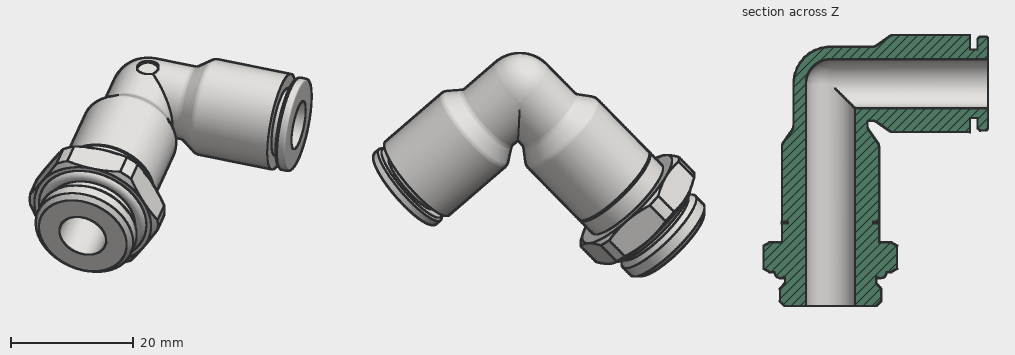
import cadquery as cq
import math

elbow_radius = 6.1
arm_radius = 8.0
elbow_end = 7.3
shoulder_end = 10.0
shoulder_blend = 1.1
bore_radius = 4.0

socket_end = 22.9
socket_neck_radius = 5.65
collar_start = 24.1
collar_end = 25.83
collar_radius = 7.75
collar_edge = 0.4

groove_start = 22.63
groove_width = 0.25
groove_radius = 7.0
stud_neck_radius = 7.5
stud_end = 36.45
thread_radius = 8.35
thread_chamfer = 0.85
thread_start = 32.65
thread_lead = 0.95

nut_start = 25.95
nut_thickness = 4.95
nut_end = nut_start + nut_thickness
nut_flats = 20.0
nut_corner_radius = 11.0
nut_chamfer_angle = 30.0

ring_section_radius = 1.0
ring_outer_radius = 9.2
ring_center_radius = ring_outer_radius - ring_section_radius

emblem_radius = 1.8
emblem_floor = 5.42


def turned(points):
    """Solid of revolution about Y from (radius, y) points, closed along the axis."""
    return cq.Workplane("XY").polyline(points).close().revolve(360, (0, 0, 0), (0, 1, 0))


def along_x(body):
    """Turn a body built towards -Y so that it points towards +X."""
    return body.rotate((0, 0, 0), (0, 0, 1), 90)


def cylinder(radius, start, end):
    """Cylinder reaching towards -Y from one distance to another."""
    return cq.Workplane("XZ").workplane(offset=start).circle(radius).extrude(end - start)


def arm(end):
    """Elbow tube widening through a blended shoulder to the arm radius."""
    body = turned([
        (0, 0),
        (elbow_radius, 0),
        (elbow_radius, -elbow_end),
        (arm_radius, -shoulder_end),
        (arm_radius, -end),
        (0, -end),
    ])
    shoulder_edges = body.edges("%CIRCLE").edges(">>Y[-2] or >>Y[-3]")
    return shoulder_edges.fillet(shoulder_blend)


def tube_socket():
    """Arm with a narrower neck and a release collar, towards +X."""
    neck = cylinder(socket_neck_radius, socket_end, collar_start)
    collar = cylinder(collar_radius, collar_start, collar_end)
    collar = collar.edges("<Y").fillet(collar_edge).edges(">Y").chamfer(collar_edge)
    return along_x(arm(socket_end).union(neck).union(collar))


def nut():
    """Hexagon with cylindrical corners, chamfered down to its flats at both faces."""
    across_corners = nut_flats / math.cos(math.pi / 6)
    nut_face = cq.Workplane("XZ").workplane(offset=nut_start)
    hexagon = nut_face.polygon(6, across_corners).extrude(nut_thickness)
    face_radius = nut_flats / 2
    chamfer_depth = (nut_corner_radius - face_radius) * math.tan(math.radians(nut_chamfer_angle))
    envelope = turned([
        (0, -nut_start),
        (face_radius, -nut_start),
        (nut_corner_radius, -nut_start - chamfer_depth),
        (nut_corner_radius, -nut_end + chamfer_depth),
        (face_radius, -nut_end),
        (0, -nut_end),
    ])
    return hexagon.intersect(envelope)


def threaded_stud():
    """Neck below the nut and the plain thread body with its lead-in and end chamfer."""
    return turned([
        (0, -nut_end),
        (stud_neck_radius, -nut_end),
        (stud_neck_radius, -thread_start),
        (thread_radius, -thread_start - thread_lead),
        (thread_radius, -stud_end + thread_chamfer),
        (thread_radius - thread_chamfer, -stud_end),
        (0, -stud_end),
    ])


def o_ring():
    """Ring of round section centred on the nut face."""
    section = cq.Workplane("XY").center(ring_center_radius, -nut_end).circle(ring_section_radius)
    return section.revolve(360, (-ring_center_radius, 0, 0), (-ring_center_radius, 1, 0))


def swivel_groove():
    """Narrow ring to cut from the arm ahead of the nut."""
    groove_end = groove_start + groove_width
    outer = cylinder(nut_corner_radius, groove_start, groove_end)
    return outer.cut(cylinder(groove_radius, groove_start, groove_end))


def bore():
    """Elbow passage through both arms with a spherical bend."""
    bend = cq.Workplane("XY").sphere(bore_radius)
    stud_passage = cylinder(bore_radius, 0, stud_end)
    socket_passage = along_x(cylinder(bore_radius, 0, collar_end))
    return bend.union(stud_passage).union(socket_passage)


def emblem_recess():
    """Round flat-bottomed recess opening upwards."""
    floor = cq.Workplane("XY").workplane(offset=emblem_floor)
    return floor.circle(emblem_radius).extrude(elbow_radius)


stud_arm = arm(nut_start).cut(swivel_groove())
body = cq.Workplane("XY").sphere(elbow_radius).union(stud_arm).union(tube_socket())
body = body.union(nut()).union(threaded_stud()).union(o_ring())
result = body.cut(bore()).cut(emblem_recess())